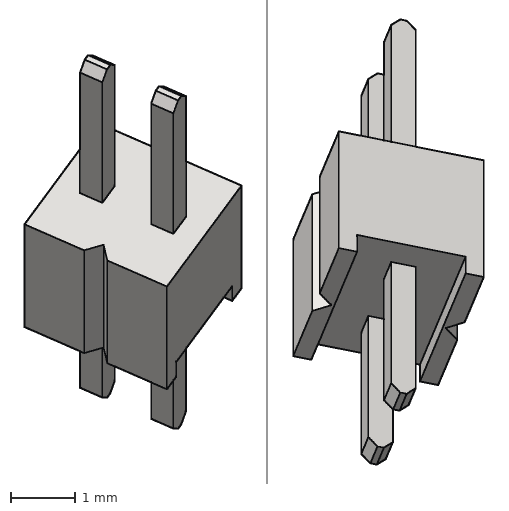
import cadquery as cq

TOTAL_HEIGHT = 8.0
PITCH = 1.27

BODY_LENGTH = 2.55
BODY_DEPTH = 2.35
BODY_HEIGHT = 2.5

NOTCH_WIDTH = 0.42
NOTCH_DEPTH = 0.25

FOOT_WIDTH = 0.3
CHANNEL_HEIGHT = 0.36
CHANNEL_WIDTH = BODY_DEPTH - 2 * FOOT_WIDTH

PIN_SIDE = 0.4
PIN_TAIL = 2.4
TIP_HEIGHT = 0.16
TIP_FLAT = 0.1
PIN_BOTTOM = -PIN_TAIL
PIN_TOP = PIN_BOTTOM + TOTAL_HEIGHT


def full_length_block(depth, height):
    """Block as long as the body, standing on Z = 0."""
    return cq.Workplane("XY").box(BODY_LENGTH, depth, height, centered=(True, True, False))


def notch(side):
    """V-notch over the full body height; side is -1 for the front face, +1 for the back."""
    face_y = side * BODY_DEPTH / 2
    return (
        cq.Workplane("XY")
        .moveTo(-NOTCH_WIDTH / 2, face_y)
        .lineTo(0, face_y - side * NOTCH_DEPTH)
        .lineTo(NOTCH_WIDTH / 2, face_y)
        .close()
        .extrude(BODY_HEIGHT)
    )


def pin(center_x):
    """Square pin whose two ends taper in Y only."""
    half_side = PIN_SIDE / 2
    half_flat = TIP_FLAT / 2
    profile = [
        (-half_flat, PIN_BOTTOM),
        (half_flat, PIN_BOTTOM),
        (half_side, PIN_BOTTOM + TIP_HEIGHT),
        (half_side, PIN_TOP - TIP_HEIGHT),
        (half_flat, PIN_TOP),
        (-half_flat, PIN_TOP),
        (-half_side, PIN_TOP - TIP_HEIGHT),
        (-half_side, PIN_BOTTOM + TIP_HEIGHT),
    ]
    return (
        cq.Workplane("YZ")
        .workplane(offset=center_x - half_side)
        .polyline(profile)
        .close()
        .extrude(PIN_SIDE)
    )


body = full_length_block(BODY_DEPTH, BODY_HEIGHT)
channel = full_length_block(CHANNEL_WIDTH, CHANNEL_HEIGHT)
result = body.cut(channel)

for side in (-1, 1):
    result = result.cut(notch(side))

for pin_x in (-PITCH / 2, PITCH / 2):
    result = result.union(pin(pin_x))